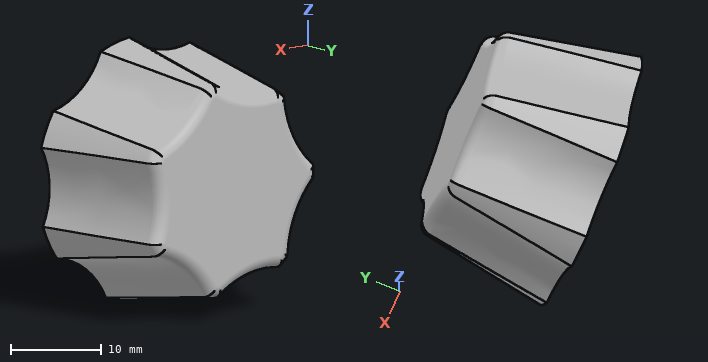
import cadquery as cq
import math

knob_radius = 15.0
knob_depth = 16.0
draft_angle = 10
back_fillet = 1.5

lobe_count = 7
first_lobe_angle = 24.15
lobe_half_angle = 8.3
flute_floor_radius = 13.22

mouth_diameter = 13.05
bore_diameter = 6.2
mouth_depth = 3.95
bore_depth = 8.97


def polar(radius, angle):
    """Point at a radius and an angle in degrees."""
    turn = math.radians(angle)
    return (radius * math.cos(turn), radius * math.sin(turn))


def make_body():
    """Tapered, fluted body with a rounded back edge."""
    pitch = 360 / lobe_count
    outline = cq.Workplane("XZ").moveTo(*polar(knob_radius, first_lobe_angle - lobe_half_angle))
    for index in range(lobe_count):
        lobe_angle = first_lobe_angle + index * pitch
        next_lobe_start = lobe_angle + pitch - lobe_half_angle
        outline = outline.threePointArc(
            polar(knob_radius, lobe_angle),
            polar(knob_radius, lobe_angle + lobe_half_angle),
        )
        outline = outline.threePointArc(
            polar(flute_floor_radius, lobe_angle + pitch / 2),
            polar(knob_radius, next_lobe_start),
        )
    body = outline.close().extrude(-knob_depth, taper=draft_angle)
    return body.faces(">Y").edges().fillet(back_fillet)


def make_hole():
    """Solid of revolution about Y that clears the mouth and the bore."""
    return (
        cq.Workplane("XY")
        .lineTo(mouth_diameter / 2, 0)
        .lineTo(bore_diameter / 2, mouth_depth)
        .lineTo(bore_diameter / 2, bore_depth)
        .lineTo(0, bore_depth)
        .close()
        .revolve(360, (0, 0), (0, 1))
    )


result = make_body().cut(make_hole())